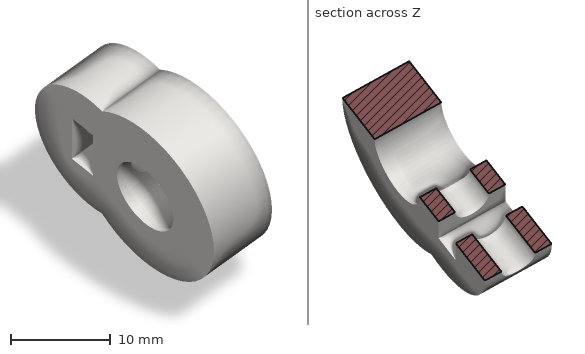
import cadquery as cq

length = 26.0
thickness = 8.0
large_diameter = 20.0
small_diameter = 16.0
bore_diameter = 8.2
screw_diameter = 4.0
slot_width = 3.07
slot_height = 6.2
slot_from_bore = 9.1

left_end = large_diameter / 2 - length
small_lobe_x = left_end + small_diameter / 2


def cylinder_along_y(diameter, x):
    """Cylinder centred on the XZ plane, spanning the full thickness."""
    return cq.Workplane("XZ").center(x, 0).circle(diameter / 2).extrude(thickness / 2, both=True)


body = cylinder_along_y(large_diameter, 0).union(cylinder_along_y(small_diameter, small_lobe_x))

body = body.cut(cylinder_along_y(bore_diameter, 0))

nut_slot = cq.Workplane("XY").box(slot_width, thickness, slot_height).translate((-slot_from_bore, 0, 0))
body = body.cut(nut_slot)

screw_hole = cq.Workplane("YZ", origin=(left_end, 0, 0)).circle(screw_diameter / 2).extrude(-left_end)
result = body.cut(screw_hole)